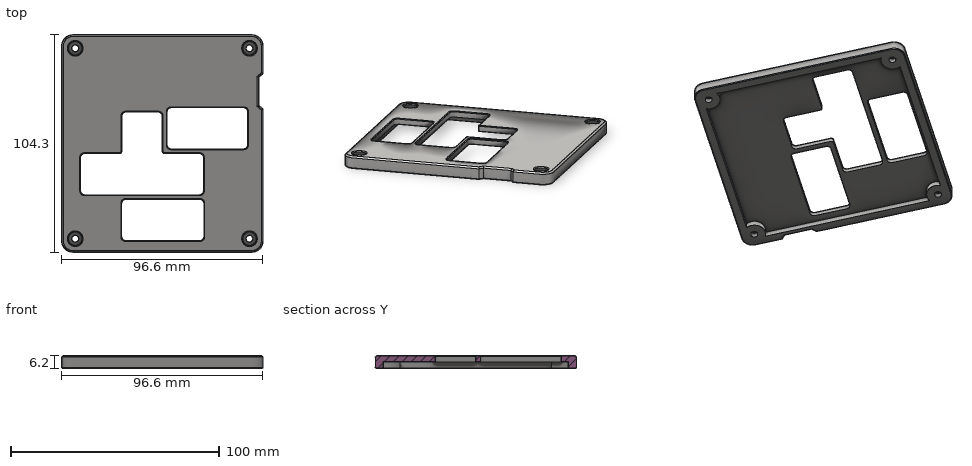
import cadquery as cq

LENGTH_X = 96.6
WIDTH_Y = 104.34
THICKNESS = 6.2
CORNER_RADIUS = 5.4
TOP_CHAMFER = 0.8
BOTTOM_CHAMFER = 0.4

PANEL_THICKNESS = 3.0
POCKET_DEPTH = THICKNESS - PANEL_THICKNESS
RIM_WALL = 4.0
PAD_RADIUS = 5.5

NOTCH_DEPTH = 2.0
NOTCH_CENTER_Y = 25.0
NOTCH_MOUTH = 17.0
NOTCH_SLOPE_RUN = 1.7
NOTCH_FLOOR = NOTCH_MOUTH - 2 * NOTCH_SLOPE_RUN

HOLE_INSET = 6.5
HOLE_DIAMETER = 3.2
COUNTERBORE_DIAMETER = 6.5
COUNTERBORE_DEPTH = 3.2
COUNTERBORE_CHAMFER = 0.5
SCREW_POINTS = [
    (x_side * (LENGTH_X / 2 - HOLE_INSET), y_side * (WIDTH_Y / 2 - HOLE_INSET))
    for x_side in (-1, 1)
    for y_side in (-1, 1)
]

WINDOW_HEIGHT = 19.8
WINDOW_RADIUS = 2.0
INNER_CORNER_RADIUS = 1.0
OPENING_CHAMFER = 0.4

BAR_LENGTH = 59.0
BAR_CENTER = (-9.75, -14.7)
STEM_WIDTH = 19.4
STEM_TOP_Y = 15.1

LOWER_WINDOW_LENGTH = 39.4
LOWER_WINDOW_CENTER = (0.2, -36.7)
UPPER_WINDOW_LENGTH = 38.6
UPPER_WINDOW_CENTER = (21.6, 7.3)


def make_plate():
    """Rounded plate with the edge notch, chamfered along its top and bottom rims."""
    plate = cq.Workplane("XY").box(LENGTH_X, WIDTH_Y, THICKNESS, centered=(True, True, False))
    plate = plate.edges("|Z").fillet(CORNER_RADIUS)
    edge_x = LENGTH_X / 2
    floor_x = edge_x - NOTCH_DEPTH
    notch = (
        cq.Workplane("XY")
        .moveTo(edge_x, NOTCH_CENTER_Y - NOTCH_MOUTH / 2)
        .lineTo(floor_x, NOTCH_CENTER_Y - NOTCH_FLOOR / 2)
        .lineTo(floor_x, NOTCH_CENTER_Y + NOTCH_FLOOR / 2)
        .lineTo(edge_x, NOTCH_CENTER_Y + NOTCH_MOUTH / 2)
        .close()
        .extrude(THICKNESS)
    )
    rough_plate = plate.cut(notch)
    return rough_plate.faces(">Z").chamfer(TOP_CHAMFER).faces("<Z").chamfer(BOTTOM_CHAMFER)


def cut_underside_pocket(plate):
    """Hollow the underside inside the rim wall, keeping a round pad around each screw."""
    pocket = cq.Workplane("XY").rect(LENGTH_X - 2 * RIM_WALL, WIDTH_Y - 2 * RIM_WALL)
    pocket = pocket.extrude(POCKET_DEPTH)
    pads = cq.Workplane("XY").pushPoints(SCREW_POINTS).circle(PAD_RADIUS).extrude(POCKET_DEPTH)
    return plate.cut(pocket.cut(pads))


def window(length, center):
    """Cutter for a rectangular opening with rounded corners."""
    block = cq.Workplane("XY").center(*center)
    block = block.rect(length, WINDOW_HEIGHT).extrude(THICKNESS)
    return block.edges("|Z").fillet(WINDOW_RADIUS)


def tee_opening():
    """Cutter for the T-shaped opening: a wide bar with a stem rising from it."""
    bar_top_y = BAR_CENTER[1] + WINDOW_HEIGHT / 2
    stem_height = STEM_TOP_Y - BAR_CENTER[1]
    stem = (
        cq.Workplane("XY")
        .center(BAR_CENTER[0], BAR_CENTER[1] + stem_height / 2)
        .rect(STEM_WIDTH, stem_height)
        .extrude(THICKNESS)
        .edges("|Z and >Y")
        .fillet(WINDOW_RADIUS)
    )
    tee = window(BAR_LENGTH, BAR_CENTER).union(stem)
    left, right = (BAR_CENTER[0] + side * STEM_WIDTH / 2 for side in (-1, 1))
    corner_margin = 0.1
    inner_corners = cq.selectors.BoxSelector(
        (left - corner_margin, bar_top_y - corner_margin, 0),
        (right + corner_margin, bar_top_y + corner_margin, THICKNESS),
    )
    return tee.edges("|Z").edges(inner_corners).fillet(INNER_CORNER_RADIUS)


def cut_opening(plate, cutter):
    """Cut an opening through the plate and chamfer its rim on the top face."""
    outline = cutter.faces("<Z").wires().val()
    plate = plate.cut(cutter)
    rim_length = outline.Length()
    top_face = plate.faces(">Z").val()
    rim = min(top_face.innerWires(), key=lambda wire: abs(wire.Length() - rim_length))
    return plate.newObject(rim.Edges()).chamfer(OPENING_CHAMFER)


def cut_screw_holes(plate):
    """Drill the four counterbored holes and chamfer the counterbore mouths."""
    bore_radius = COUNTERBORE_DIAMETER / 2
    profile = (
        cq.Workplane("XZ")
        .moveTo(0, 0)
        .lineTo(HOLE_DIAMETER / 2, 0)
        .lineTo(HOLE_DIAMETER / 2, THICKNESS - COUNTERBORE_DEPTH)
        .lineTo(bore_radius, THICKNESS - COUNTERBORE_DEPTH)
        .lineTo(bore_radius, THICKNESS - COUNTERBORE_CHAMFER)
        .lineTo(bore_radius + COUNTERBORE_CHAMFER, THICKNESS)
        .lineTo(0, THICKNESS)
        .close()
    )
    drill = profile.revolve(360, (0, 0, 0), (0, 1, 0))
    for x, y in SCREW_POINTS:
        plate = plate.cut(drill.translate((x, y, 0)))
    return plate


result = make_plate()
result = cut_opening(result, tee_opening())
result = cut_opening(result, window(LOWER_WINDOW_LENGTH, LOWER_WINDOW_CENTER))
result = cut_opening(result, window(UPPER_WINDOW_LENGTH, UPPER_WINDOW_CENTER))
result = cut_underside_pocket(result)
result = cut_screw_holes(result)